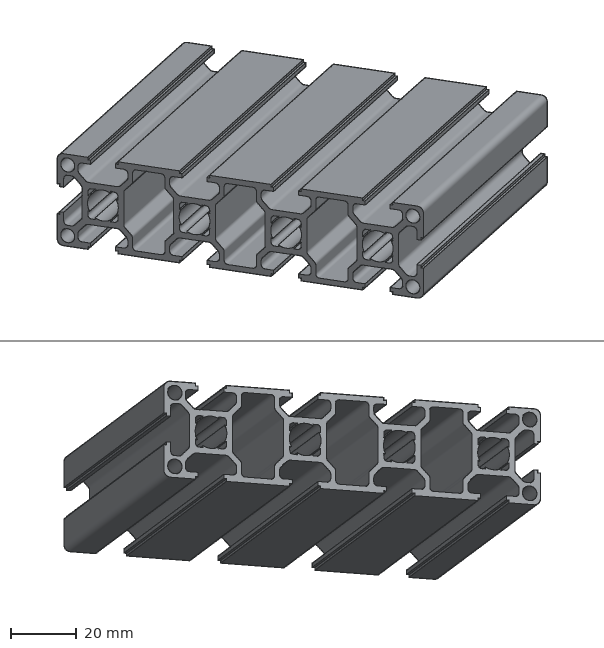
import cadquery as cq

cell_count = 4
cell = 30.0
length = 100.0
width = cell_count * cell
half_cell = cell / 2
outer_radius = 2.0

mouth_half = 4.1
rebate_half = 4.9
rebate_depth = 0.8
lip = 2.2
chamber_half = 8.2
floor_half = 5.3
core_half = 6.8
ceiling_radius = 1.3
shoulder_radius = 1.7
floor_radius = 1.7

skin = 1.8
hollow_half = half_cell - core_half
hollow_neck_half = 5.3
hollow_waist_half = 5.8
hollow_radius = 1.2

bore_diameter = 10.1
pocket_inner = 2.5
pocket_outer = 4.9
pocket_radius = 1.2

corner_hole_diameter = 4.5
corner_hole_inset = 3.5


def bar(profile):
    """Extrude an XZ profile over the length, centred on Y."""
    return profile.extrude(length / 2, both=True)


def plane():
    """Cross-section plane: X to the right and Z up, through the middle of the length."""
    return cq.Workplane("XZ")


def box_between(x0, x1, z0, z1):
    """Full-length block between two X and two Z positions."""
    return bar(plane().center((x0 + x1) / 2, (z0 + z1) / 2).rect(x1 - x0, z1 - z0))


def round_edges(body, x, z, radius):
    """Fillet the two lengthwise edges at height z that lie at x and -x."""
    for side in (-x, x):
        body = body.edges(cq.selectors.NearestToPointSelector((side, 0, z))).fillet(radius)
    return body


def make_slot():
    """T-slot opening upwards, for a cell centred on the Y axis."""
    ceiling = half_cell - lip
    shoulder = core_half + chamber_half - floor_half
    chamber = bar(
        plane()
        .polyline([
            (-floor_half, core_half),
            (floor_half, core_half),
            (chamber_half, shoulder),
            (chamber_half, ceiling),
            (-chamber_half, ceiling),
            (-chamber_half, shoulder),
        ])
        .close()
    )
    chamber = round_edges(chamber, chamber_half, ceiling, ceiling_radius)
    chamber = round_edges(chamber, chamber_half, shoulder, shoulder_radius)
    chamber = round_edges(chamber, floor_half, core_half, floor_radius)
    mouth = box_between(-mouth_half, mouth_half, core_half, half_cell)
    rebate = box_between(-rebate_half, rebate_half, half_cell - rebate_depth, half_cell)
    return chamber.union(mouth).union(rebate)


def make_core():
    """Bore through the middle of a cell."""
    core = bar(plane().circle(bore_diameter / 2))
    pocket = box_between(pocket_inner, pocket_outer, pocket_inner, pocket_outer)
    pocket = pocket.edges("|Y and >X and >Z").fillet(pocket_radius)
    for quarter in range(4):
        core = core.union(pocket.rotate((0, 0, 0), (0, 1, 0), 90 * quarter))
    return core


def make_hollow():
    """Large hollow centred between two cells, widened at mid height by 45 degree flanks."""
    top = half_cell - skin
    neck = hollow_waist_half + hollow_half - hollow_neck_half
    right_side = [
        (hollow_neck_half, top),
        (hollow_neck_half, neck),
        (hollow_half, hollow_waist_half),
        (hollow_half, -hollow_waist_half),
        (hollow_neck_half, -neck),
        (hollow_neck_half, -top),
    ]
    left_side = [(-x, z) for x, z in reversed(right_side)]
    hollow = bar(plane().polyline(right_side + left_side).close())
    return hollow.edges("|Y").fillet(hollow_radius)


result = cq.Workplane("XY").box(width, length, cell)
result = result.edges("|Y").fillet(outer_radius)

cell_centres = [(i + 0.5) * cell - width / 2 for i in range(cell_count)]
slot = make_slot()
core = make_core()

for x in cell_centres:
    for angle in (0, 180):
        result = result.cut(slot.rotate((0, 0, 0), (0, 1, 0), angle).translate((x, 0, 0)))
    result = result.cut(core.translate((x, 0, 0)))

for x, angle in ((cell_centres[0], -90), (cell_centres[-1], 90)):
    result = result.cut(slot.rotate((0, 0, 0), (0, 1, 0), angle).translate((x, 0, 0)))

hollow = make_hollow()
for x in cell_centres[:-1]:
    result = result.cut(hollow.translate((x + half_cell, 0, 0)))

result = result.cut(
    bar(
        plane()
        .rect(width - 2 * corner_hole_inset, cell - 2 * corner_hole_inset, forConstruction=True)
        .vertices()
        .circle(corner_hole_diameter / 2)
    )
)